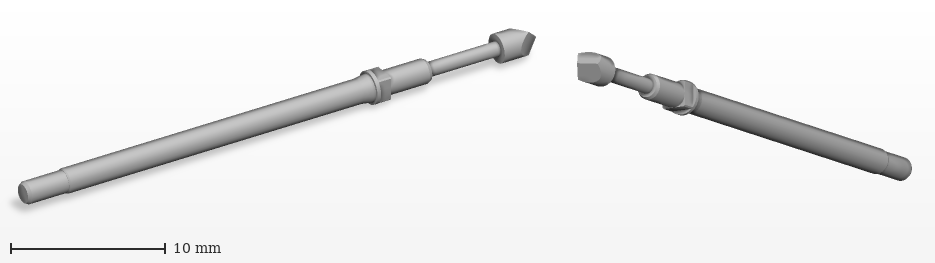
import cadquery as cq
import math

TOTAL_LENGTH = 38.8

tail_dia = 1.55
barrel_dia = 1.7
flange_dia = 2.3
stem_dia = 1.0
head_dia = 2.0

tail_length = 3.03
lower_barrel_length = 22.27
collar_length = 0.8
flange_thickness = 0.27
square_length = 0.95
upper_barrel_length = 3.2
head_length = 3.0

tail_chamfer_length = 0.25
tail_chamfer_depth = 0.135
barrel_tail_chamfer_length = 0.1
barrel_tail_chamfer_depth = 0.06
barrel_mouth_chamfer_length = 0.25
barrel_mouth_chamfer_depth = 0.1

collar_dia = 1.95

across_flats = barrel_dia

facet_count = 3
facet_angle = 30.0

barrel_start = tail_length
collar_start = barrel_start + lower_barrel_length
flange_start = collar_start + collar_length
square_start = flange_start + flange_thickness
upper_barrel_start = square_start + square_length
barrel_end = upper_barrel_start + upper_barrel_length
head_start = TOTAL_LENGTH - head_length


def cylinder(diameter, start, end):
    """Cylinder on the Y axis between two stations."""
    return cq.Workplane("XZ", origin=(0, start, 0)).circle(diameter / 2).extrude(start - end)


def make_body():
    """Tail, barrel, collar and flange as one turned profile."""
    tail_r = tail_dia / 2
    barrel_r = barrel_dia / 2
    profile = (
        cq.Workplane("XY")
        .moveTo(0, 0)
        .lineTo(tail_r - tail_chamfer_depth, 0)
        .lineTo(tail_r, tail_chamfer_length)
        .lineTo(tail_r, barrel_start)
        .lineTo(barrel_r - barrel_tail_chamfer_depth, barrel_start)
        .lineTo(barrel_r, barrel_start + barrel_tail_chamfer_length)
        .lineTo(barrel_r, collar_start)
        .lineTo(collar_dia / 2, flange_start)
        .lineTo(flange_dia / 2, flange_start)
        .lineTo(flange_dia / 2, square_start)
        .lineTo(barrel_r, square_start)
        .lineTo(barrel_r, barrel_end - barrel_mouth_chamfer_length)
        .lineTo(barrel_r - barrel_mouth_chamfer_depth, barrel_end)
        .lineTo(0, barrel_end)
        .close()
    )
    return profile.revolve(360, (0, 0, 0), (0, 1, 0))


def make_square_section():
    """Square wrench section whose corners follow the flange circle."""
    middle = square_start + square_length / 2
    square = cq.Workplane("XY").box(across_flats, square_length, across_flats)
    disc = cylinder(flange_dia, square_start, upper_barrel_start)
    return disc.intersect(square.translate((0, middle, 0)))


def make_head():
    """Round head ground to a three-sided point, with one ridge facing -X."""
    head = cylinder(head_dia, head_start, TOTAL_LENGTH)
    facet_drop = head_dia / 2 / math.tan(math.radians(facet_angle))
    waste = (
        cq.Workplane("XY", origin=(0, TOTAL_LENGTH, 0))
        .polyline([(0, 0), (head_dia, 0), (head_dia, -2 * facet_drop)])
        .close()
        .extrude(head_dia, both=True)
    )
    for i in range(facet_count):
        head = head.cut(waste.rotate((0, 0, 0), (0, 1, 0), i * 360 / facet_count))
    return head


stem = cylinder(stem_dia, barrel_end, head_start)
result = make_body().union(make_square_section()).union(stem).union(make_head())